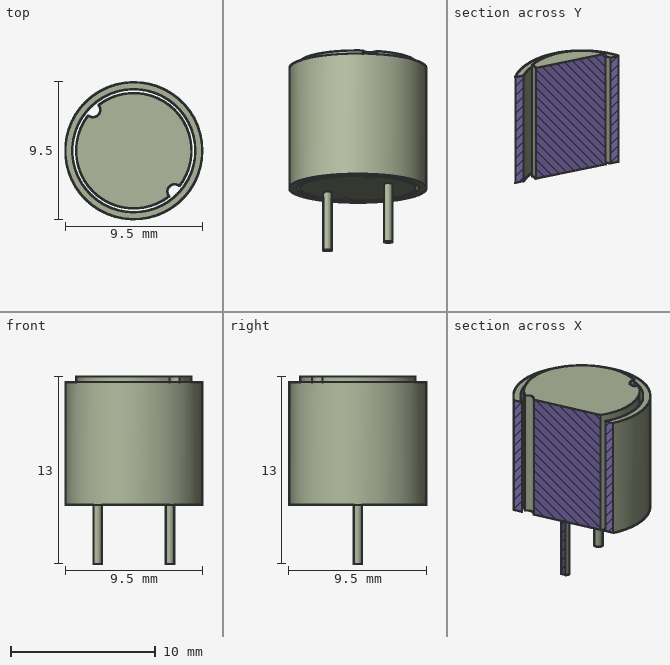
import cadquery as cq

sleeve_diameter = 9.5
sleeve_height = 8.5
core_diameter = 8.0
core_rise = 0.4
sleeve_core_gap = 0.25
notch_diameter = 1.0
notch_angles = (135, 315)
pin_diameter = 0.6
pin_pitch = 5.0
pin_length = 4.1

sleeve_bore = core_diameter + 2 * sleeve_core_gap
core_height = sleeve_height + core_rise


def make_sleeve():
    """Open-ended round sleeve that surrounds the core."""
    return (
        cq.Workplane("XY")
        .circle(sleeve_diameter / 2)
        .circle(sleeve_bore / 2)
        .extrude(sleeve_height)
    )


def make_core():
    """Round core with two full-height wire notches centred on its rim."""
    core = cq.Workplane("XY").circle(core_diameter / 2).extrude(core_height)
    for angle in notch_angles:
        notch = (
            cq.Workplane("XY")
            .transformed(rotate=(0, 0, angle))
            .center(core_diameter / 2, 0)
            .circle(notch_diameter / 2)
            .extrude(core_height)
        )
        core = core.cut(notch)
    return core


def make_pin(x):
    """Round lead hanging from the underside of the core."""
    return cq.Workplane("XY").center(x, 0).circle(pin_diameter / 2).extrude(-pin_length)


sleeve = make_sleeve()
core = make_core()
pins = [make_pin(side * pin_pitch / 2) for side in (-1, 1)]

result = cq.Compound.makeCompound([sleeve.val(), core.val(), *[pin.val() for pin in pins]])